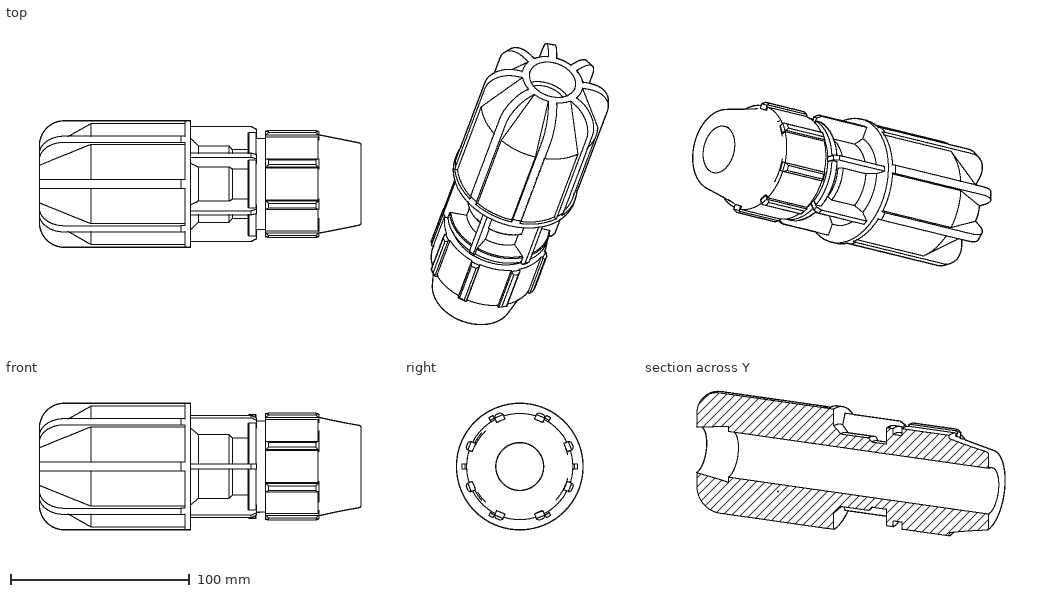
import cadquery as cq

LENGTH = 180.0

BORE_RADIUS = 13.3
BORE_POCKET_RADIUS = 32.5 / 2
BORE_POCKET_DEPTH = 19.6

GRIP_LENGTH = 84.6
GRIP_NOSE_RADIUS = 17.5
GRIP_BODY_RADIUS = 33.8
GRIP_CONE_LENGTH = 28.8
FLANGE_RADIUS = 71.0 / 2
FLANGE_THICKNESS = 3.2

GRIP_RIB_COUNT = 8
GRIP_RIB_WIDTH = 4.9
GRIP_RIB_NOSE_RADIUS = 14.0
GRIP_RIB_FLAT_END = 79.2

NECK_ROOT_RADIUS = 51.1 / 2
NECK_WIDE_RADIUS = 21.5
NECK_NARROW_RADIUS = 19.3
NECK_ROOT_LENGTH = 4.3
NECK_WIDE_END = 106.0
NECK_NARROW_START = 108.0

COLLAR_START = 116.8
COLLAR_END = 121.1
COLLAR_RADIUS = 29.0
COLLAR_CHAMFER = 0.5
SLEEVE_RADIUS = 51.1 / 2

WEB_COUNT = 6
WEB_THICKNESS = 2.7
WEB_RADIUS = 32.2
WEB_END = 121.5
WEB_CORNER_LENGTH = 3.0
WEB_CORNER_DROP = 1.6

NUT_START = 126.4
NUT_END = 155.7
NUT_RADIUS = 29.7
NUT_RIB_COUNT = 8
NUT_RIB_WIDTH = 5.0
NUT_RIB_RADIUS = 31.9
NUT_RIB_CHAMFER = 1.0
NUT_RIB_END = 156.5
NUT_RIB_SLOPE_LENGTH = 1.8
NUT_RIB_SLOPE_DROP = 1.5

TIP_START_RADIUS = 27.7
TIP_END_RADIUS = 22.9
TIP_FILLET = 1.6
TIP_ROOT_FILLET = 0.9


def revolved(points):
    """Solid of revolution about X; the (x, radius) profile is closed along the axis."""
    first_x = points[0][0]
    last_x = points[-1][0]
    outline = [(first_x, 0), *points, (last_x, 0)]
    return cq.Workplane("XY").polyline(outline).close().revolve(360, (0, 0), (1, 0))


def add_around_axis(body, feature, count, start_angle=0.0):
    """Join evenly spaced copies of a feature to the body, turned about X."""
    for index in range(count):
        angle = start_angle + index * 360 / count
        body = body.union(feature.rotate((0, 0, 0), (1, 0, 0), angle))
    return body


def make_grip():
    flange_start = GRIP_LENGTH - FLANGE_THICKNESS
    return revolved([
        (0, GRIP_NOSE_RADIUS),
        (GRIP_CONE_LENGTH, GRIP_BODY_RADIUS),
        (flange_start, GRIP_BODY_RADIUS),
        (flange_start, FLANGE_RADIUS),
        (GRIP_LENGTH, FLANGE_RADIUS),
    ])


def make_grip_rib():
    """Flat rib along +Y with a quarter-round nose; its tail follows the round of the flange."""
    flange_start = GRIP_LENGTH - FLANGE_THICKNESS
    flat_rib = (
        cq.Workplane("XY")
        .rect(flange_start, FLANGE_RADIUS, centered=False)
        .extrude(GRIP_RIB_WIDTH / 2, both=True)
        .edges("|Z and <X and >Y")
        .fillet(GRIP_RIB_NOSE_RADIUS)
    )
    clear_radius = FLANGE_RADIUS + GRIP_RIB_WIDTH
    envelope = revolved([
        (0, clear_radius),
        (GRIP_RIB_FLAT_END, clear_radius),
        (GRIP_RIB_FLAT_END, FLANGE_RADIUS),
        (flange_start, FLANGE_RADIUS),
    ])
    return flat_rib.intersect(envelope)


def make_neck():
    return revolved([
        (GRIP_LENGTH, NECK_ROOT_RADIUS),
        (GRIP_LENGTH + NECK_ROOT_LENGTH, NECK_WIDE_RADIUS),
        (NECK_WIDE_END, NECK_WIDE_RADIUS),
        (NECK_NARROW_START, NECK_NARROW_RADIUS),
        (COLLAR_START, NECK_NARROW_RADIUS),
        (COLLAR_START, COLLAR_RADIUS - COLLAR_CHAMFER),
        (COLLAR_START + COLLAR_CHAMFER, COLLAR_RADIUS),
        (COLLAR_END, COLLAR_RADIUS),
        (COLLAR_END, SLEEVE_RADIUS),
        (NUT_START, SLEEVE_RADIUS),
    ])


def make_web():
    """Thin plate along +Y from the flange to the collar, with its outer end corner cut back."""
    return (
        cq.Workplane("XY")
        .moveTo(GRIP_LENGTH, 0)
        .lineTo(GRIP_LENGTH, WEB_RADIUS)
        .lineTo(WEB_END - WEB_CORNER_LENGTH, WEB_RADIUS)
        .lineTo(WEB_END, WEB_RADIUS - WEB_CORNER_DROP)
        .lineTo(WEB_END, 0)
        .close()
        .extrude(WEB_THICKNESS / 2, both=True)
    )


def make_nut_and_tip():
    """Plain nut cylinder with the cone behind it, blended at the root and rounded at the end."""
    tip = revolved([(NUT_END, TIP_START_RADIUS), (LENGTH, TIP_END_RADIUS)])
    tip = tip.faces(">X").edges().fillet(TIP_FILLET)
    nut = revolved([(NUT_START, NUT_RADIUS), (NUT_END, NUT_RADIUS)])
    tip_root = cq.selectors.RadiusNthSelector(-2)
    return nut.union(tip).edges(tip_root).fillet(TIP_ROOT_FILLET)


def make_nut_rib():
    """Bar along the +Z side of the nut with sloped ends and chamfered long edges."""
    shoulder_radius = NUT_RIB_RADIUS - NUT_RIB_SLOPE_DROP
    return (
        cq.Workplane("XZ")
        .moveTo(NUT_START, TIP_START_RADIUS)
        .lineTo(NUT_START, shoulder_radius)
        .lineTo(NUT_START + NUT_RIB_SLOPE_LENGTH, NUT_RIB_RADIUS)
        .lineTo(NUT_RIB_END - NUT_RIB_SLOPE_LENGTH, NUT_RIB_RADIUS)
        .lineTo(NUT_RIB_END, shoulder_radius)
        .lineTo(NUT_RIB_END, TIP_START_RADIUS)
        .close()
        .extrude(NUT_RIB_WIDTH / 2, both=True)
        .faces(">Z")
        .edges("|X")
        .chamfer(NUT_RIB_CHAMFER)
    )


def make_bore():
    return revolved([
        (0, BORE_RADIUS),
        (BORE_POCKET_DEPTH, BORE_POCKET_RADIUS),
        (BORE_POCKET_DEPTH, BORE_RADIUS),
        (LENGTH, BORE_RADIUS),
    ])


result = make_grip().union(make_neck()).union(make_nut_and_tip())
result = add_around_axis(result, make_grip_rib(), GRIP_RIB_COUNT)
result = add_around_axis(result, make_web(), WEB_COUNT)
result = add_around_axis(result, make_nut_rib(), NUT_RIB_COUNT, 180 / NUT_RIB_COUNT)
result = result.cut(make_bore())